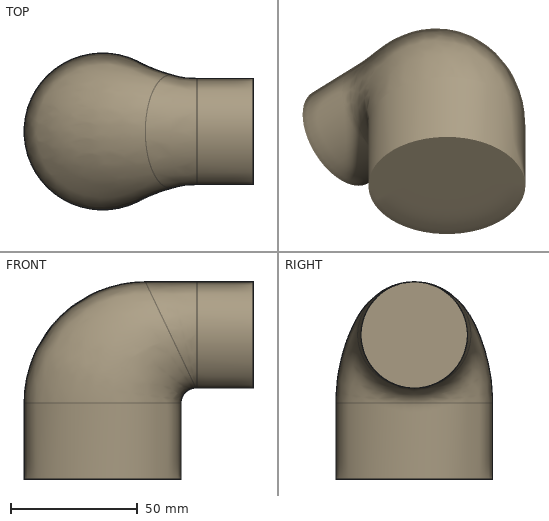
import cadquery as cq
import math


total_length = 90.5
total_height = 78.0
wide_diameter = 62.0
narrow_radius = 21.0
wide_pipe_height = 30.1
narrow_pipe_length = 22.1
collar_length = 0.3

bend_control_half_width = 25.8
bend_end_half_width = 22.35

bend_steps = 8
transition_steps = 4

wide_radius = wide_diameter / 2
narrow_start_x = total_length - wide_radius - narrow_pipe_length
transition_end_x = narrow_start_x - collar_length
narrow_axis_z = total_height - narrow_radius
narrow_bottom_z = total_height - 2 * narrow_radius

bend_outer_radius = total_height - wide_pipe_height
bend_inner_radius = narrow_bottom_z - wide_pipe_height
bend_outer_end_x = bend_outer_radius - wide_radius
bend_inner_end_x = bend_inner_radius + wide_radius


def quadratic(start, control, end, t):
    """Quadratic Bezier value at t between 0 and 1."""
    return (1 - t) ** 2 * start + 2 * t * (1 - t) * control + t**2 * end


def bend_point(start_x, radius, angle):
    """Point (x, z) on an arc that leaves the wide pipe vertically at start_x."""
    x = start_x + radius * (1 - math.cos(angle))
    z = wide_pipe_height + radius * math.sin(angle)
    return x, z


def elliptical_section(outer, inner, half_width):
    """Ellipse spanning the XZ points outer and inner, with the given half width along Y."""
    dx = inner[0] - outer[0]
    dz = inner[1] - outer[1]
    center = ((outer[0] + inner[0]) / 2, 0, (outer[1] + inner[1]) / 2)
    half_depth = math.hypot(dx, dz) / 2
    plane = cq.Plane(origin=center, xDir=(dx, 0, dz), normal=(-dz, 0, dx))
    return cq.Workplane(plane).ellipse(half_depth, half_width).val()


def bend_section(fraction):
    """Section of the bend; fraction runs from 0 at the wide pipe to 1 at the transition."""
    angle = fraction * math.pi / 2
    outer = bend_point(-wide_radius, bend_outer_radius, angle)
    inner = bend_point(wide_radius, bend_inner_radius, angle)
    advance = 1 - math.cos(angle)
    half_width = quadratic(wide_radius, bend_control_half_width, bend_end_half_width, advance)
    return elliptical_section(outer, inner, half_width)


def transition_section(fraction):
    """Section of the transition; fraction runs from 0 at the bend to 1 at the collar."""
    outer_x = bend_outer_end_x + fraction * (transition_end_x - bend_outer_end_x)
    inner_x = bend_inner_end_x + fraction * (transition_end_x - bend_inner_end_x)
    half_width = quadratic(bend_end_half_width, narrow_radius, narrow_radius, fraction)
    return elliptical_section((outer_x, total_height), (inner_x, narrow_bottom_z), half_width)


def loft_sections(section, steps):
    """Smooth solid through evenly stepped sections."""
    wires = [section(i / steps) for i in range(steps + 1)]
    return cq.Workplane(cq.Solid.makeLoft(wires))


def narrow_cylinder(start_x, length):
    """Cylinder on the narrow pipe's axis."""
    return (
        cq.Workplane("YZ", origin=(start_x, 0, narrow_axis_z))
        .circle(narrow_radius)
        .extrude(length)
    )


wide_pipe = cq.Workplane("XY").circle(wide_radius).extrude(wide_pipe_height)
bend = loft_sections(bend_section, bend_steps)
transition = loft_sections(transition_section, transition_steps)
collar = narrow_cylinder(transition_end_x, collar_length)
narrow_pipe = narrow_cylinder(narrow_start_x, narrow_pipe_length)

elbow = wide_pipe
for piece in (bend, transition, collar, narrow_pipe):
    elbow = elbow.union(piece, clean=False)

result = elbow.solids()